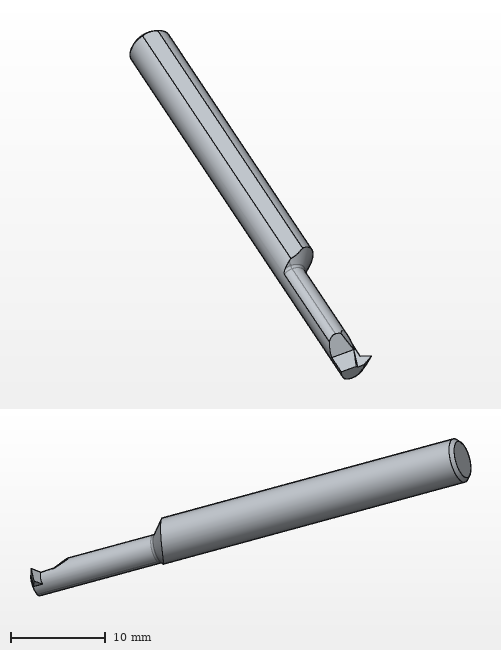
import math

import cadquery as cq

length = 50.8
shank_diameter = 4.75
shank_radius = shank_diameter / 2
height_over_flat = 4.58
flat_height = height_over_flat - shank_radius
end_chamfer = 0.4

neck_length = 14.4
neck_radius = 1.58
neck_side_y = 0.42
neck_axis_y = neck_side_y - neck_radius
neck_back_radius = 1.2
neck_back_offset = neck_radius - neck_back_radius
flare_angle = math.radians(45)
flare_fillet = 0.5

tip_flat_length = 2.27
ramp_angle = math.radians(45)

tooth_tip_y = 1.5
tooth_root_y = neck_axis_y
tooth_half_angle = math.radians(30)
tooth_half_width = (tooth_tip_y - neck_side_y) * math.tan(tooth_half_angle)
tooth_tip_x = length - tooth_half_width
tooth_depth = 1.2
tooth_relief = math.radians(30)

pocket_corner_y = 0.21
pocket_corner = (length - tip_flat_length, pocket_corner_y, 0)
pocket_wall_heading = math.radians(-20)
pocket_wall_slope = math.radians(50)
pocket_floor_slope = math.radians(6.5)

block = 12.0


def make_shank():
    """Round bar with a chamfered end and a clamping flat along the top."""
    bar = cq.Workplane("YZ").circle(shank_radius).extrude(length)
    bar = bar.faces("<X").chamfer(end_chamfer)
    above_flat = cq.Workplane("XY").box(
        length, shank_diameter, shank_radius, centered=(False, True, False)
    )
    return bar.cut(above_flat.translate((0, 0, flat_height)))


def flared_rod(radius, axis_z):
    """Rod along the neck that flares, through a fillet, into the shank."""
    neck_start = length - neck_length
    flare = shank_diameter
    half_turn = flare_angle / 2
    fillet_end = neck_start + flare_fillet * math.tan(half_turn)

    def fillet_point(turn):
        return (
            fillet_end - flare_fillet * math.sin(turn),
            radius + flare_fillet * (1 - math.cos(turn)),
        )

    profile = (
        cq.Workplane("XY")
        .moveTo(0, 0)
        .lineTo(0, radius + flare)
        .lineTo(neck_start - flare / math.tan(flare_angle), radius + flare)
        .lineTo(*fillet_point(flare_angle))
        .threePointArc(fillet_point(half_turn), fillet_point(0))
        .lineTo(length, radius)
        .lineTo(length, 0)
        .close()
    )
    rod = profile.revolve(360, (0, 0, 0), (1, 0, 0))
    return rod.translate((0, neck_axis_y, axis_z))


def make_neck_envelope():
    """Space kept by the neck: a half round on +Y and two tighter rounds on -Y."""
    plus_y_half = cq.Workplane("XY").box(
        length, block, 2 * block, centered=(False, False, True)
    )
    envelope = flared_rod(neck_radius, 0).intersect(plus_y_half.translate((0, neck_axis_y, 0)))
    for side in (1, -1):
        envelope = envelope.union(flared_rod(neck_back_radius, side * neck_back_offset))
    core = cq.Workplane("XY").box(
        length, block, 2 * neck_back_offset, centered=(False, False, True)
    )
    return envelope.union(core.translate((0, neck_axis_y - block, 0)))


def make_tip_relief():
    """Material above the tip flat and its ramp."""
    ramp_foot = length - tip_flat_length
    beyond_tip = ramp_foot + block
    return (
        cq.Workplane("XZ")
        .moveTo(ramp_foot, 0)
        .lineTo(beyond_tip, 0)
        .lineTo(beyond_tip, block)
        .lineTo(ramp_foot - block / math.tan(ramp_angle), block)
        .close()
        .extrude(block, both=True)
    )


def make_tooth():
    """Pointed tooth, leaning back below its cutting edge for clearance."""
    lean = tooth_depth * math.tan(tooth_relief)

    def outline(z, shift):
        corners = [
            (tooth_tip_x, tooth_tip_y - shift, z),
            (length, neck_side_y - shift, z),
            (length, tooth_root_y, z),
            (length - 2 * tooth_half_width, tooth_root_y, z),
            (length - 2 * tooth_half_width, neck_side_y - shift, z),
        ]
        return cq.Wire.makePolygon([cq.Vector(*c) for c in corners], close=True)

    solid = cq.Solid.makeLoft([outline(0, 0), outline(-tooth_depth, lean)], True)
    return cq.Workplane(obj=solid)


def space_above(origin, normal):
    """Large block on the outer side of a plane."""
    plane = cq.Plane(origin=origin, normal=normal)
    return cq.Workplane(plane).rect(2 * block, 2 * block).extrude(block)


def make_chip_pocket():
    """Space above the sloping pocket floor and in front of the pocket wall."""
    level = math.atan2(tooth_tip_y - pocket_corner[1], tooth_tip_x - pocket_corner[0])
    floor_normal = (
        math.sin(pocket_floor_slope) * math.sin(level),
        -math.sin(pocket_floor_slope) * math.cos(level),
        math.cos(pocket_floor_slope),
    )
    wall_normal = (
        -math.sin(pocket_wall_slope) * math.sin(pocket_wall_heading),
        math.sin(pocket_wall_slope) * math.cos(pocket_wall_heading),
        math.cos(pocket_wall_slope),
    )
    floor_space = space_above(pocket_corner, floor_normal)
    return floor_space.intersect(space_above(pocket_corner, wall_normal))


bar = make_shank().intersect(make_neck_envelope())
bar = bar.cut(make_tip_relief())
bar = bar.union(make_tooth())
result = bar.cut(make_chip_pocket())